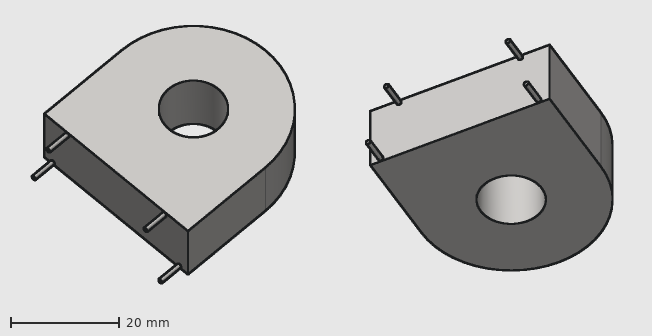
import cadquery as cq

total_length = 44.0
body_width = 37.5
body_height = 14.0
pin_length = 5.0
pin_diameter = 1.0
bore_diameter = 12.8
upper_pin_spacing = 25.4
lower_pin_spacing = 33.0
pin_row_spacing = 12.7

round_radius = body_width / 2
front_y = round_radius - (total_length - pin_length)


def make_body():
    """Block with a half-round back and a through bore on the same axis."""
    return (
        cq.Workplane("XY")
        .workplane(offset=-body_height / 2)
        .moveTo(-round_radius, front_y)
        .lineTo(round_radius, front_y)
        .lineTo(round_radius, 0)
        .threePointArc((0, round_radius), (-round_radius, 0))
        .close()
        .extrude(body_height)
        .faces(">Z")
        .workplane(origin=(0, 0, 0))
        .hole(bore_diameter)
    )


def make_pins(spacing, height):
    """Pair of pins standing out of the front face towards -Y."""
    return (
        cq.Workplane("XZ", origin=(0, front_y, height))
        .pushPoints([(-spacing / 2, 0), (spacing / 2, 0)])
        .circle(pin_diameter / 2)
        .extrude(pin_length)
    )


upper_pins = make_pins(upper_pin_spacing, pin_row_spacing / 2)
lower_pins = make_pins(lower_pin_spacing, -pin_row_spacing / 2)
result = make_body().union(upper_pins).union(lower_pins)